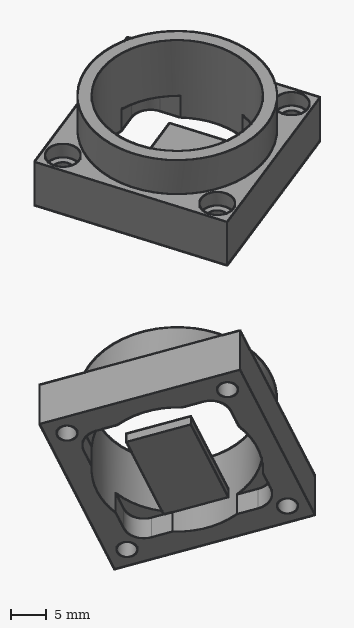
import cadquery as cq

base_side = 30.0
base_height = 8.0
total_height = 14.25

collar_diameter = 28.0
bore_diameter = 24.0

pocket_side = 22.0
pocket_corner_radius = 3.0
pocket_depth = 4.0

hole_spacing = 24.0
hole_diameter = 2.9
counterbore_diameter = 5.0
counterbore_depth = 2.5

block_width = 9.65
block_length = 15.0
block_height = 1.7


def rod(diameter, bottom, top):
    """Vertical cylinder on the Z axis between two heights."""
    return cq.Workplane("XY").workplane(offset=bottom).circle(diameter / 2).extrude(top - bottom)


def make_housing():
    base = cq.Workplane("XY").box(base_side, base_side, base_height, centered=(True, True, False))
    body = base.union(rod(collar_diameter, 0, total_height))

    body = body.cut(rod(bore_diameter, 0, total_height))

    pocket = cq.Workplane("XY").box(pocket_side, pocket_side, pocket_depth, centered=(True, True, False))
    body = body.cut(pocket.edges("|Z").fillet(pocket_corner_radius))

    for x_side in (-1, 1):
        for y_side in (-1, 1):
            centre = (x_side * hole_spacing / 2, y_side * hole_spacing / 2, 0)
            hole = rod(hole_diameter, 0, base_height)
            counterbore = rod(counterbore_diameter, base_height - counterbore_depth, base_height)
            body = body.cut(hole.union(counterbore).translate(centre))
    return body


def make_block():
    return cq.Workplane("XY").box(block_width, block_length, block_height, centered=(True, True, False))


housing = make_housing()
block = make_block()

result = cq.Compound.makeCompound([housing.val(), block.val()])